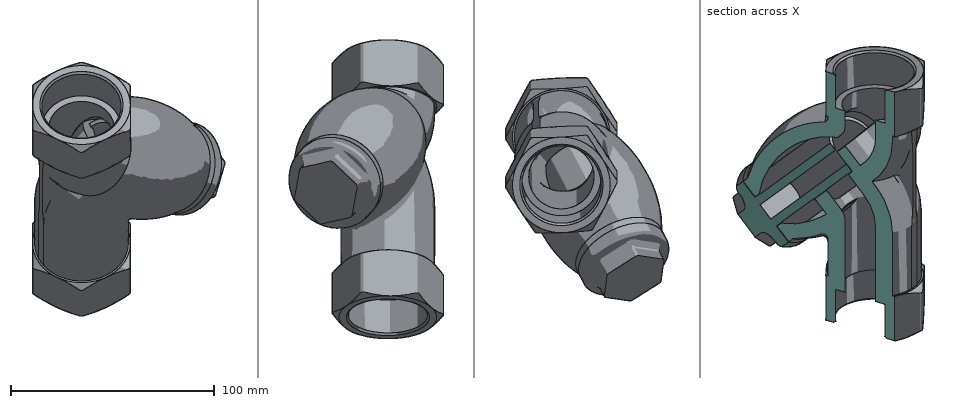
import cadquery as cq
import math

total_height = 140.0
pipe_radius = 46.0 / 2
bore_radius = 32.0 / 2
hex_flats = 48.0
hex_height = 25.2
hex_corner_radius = 2.0
hex_chamfer_angle = 30.0
socket_radius = 38.9 / 2
socket_depth = 18.9
socket_chamfer = 1.0
half_height = total_height / 2
hex_inner_z = half_height - hex_height

crease_z = 16.0
bend_radius = 14.4
bend_angle = 45.0
pivot_rise = 25.5
upper_pivot_z = crease_z + pivot_rise
lower_pivot_z = crease_z - pivot_rise
bend_cos = math.cos(math.radians(bend_angle))

branch_origin = (
    0,
    bend_radius * (1 - bend_cos),
    upper_pivot_z - bend_radius * bend_cos,
)
branch_direction = (0, bend_cos, -bend_cos)
bulge_radius = 29.8
bulge_start = 4.2
bulge_end = 67.6
bulge_middle = (bulge_start + bulge_end) / 2
joint_position = 71.4
wall = pipe_radius - bore_radius
crotch_z = -26.5
crotch_fillet = 3.0

outlet_origin = (0, branch_origin[1], 2 * crease_z - branch_origin[2])
outlet_direction = (0, bend_cos, bend_cos)
outlet_length = 24.9

rib_width = 3.0
rib_fillet = 1.7
rib_setback = 0.07
rib_root = 2.8
rib_reach = 11.2

flange_end = 78.3
flange_fillet = 2.5
nut_flats = 30.4
nut_corners = 2 * nut_flats / math.sqrt(3)
nut_end = 87.1
nut_corner_radius = 2.0
nut_base_fillet = 3.9
sleeve_start = 9.8
sleeve_wall = 2.0


outlet_plane = cq.Plane(origin=outlet_origin, xDir=(1, 0, 0), normal=outlet_direction)
branch_profile_plane = cq.Plane(origin=branch_origin, xDir=(1, 0, 0), normal=outlet_direction)


def vertical_cylinder(radius, bottom, top):
    return cq.Workplane("XY", origin=(0, 0, bottom)).circle(radius).extrude(top - bottom)


def branch_point(offset, position):
    """Point at a position along the branch, offset from its axis towards +Y and +Z."""
    along = cq.Vector(*branch_direction) * position
    across = cq.Vector(*outlet_direction) * offset
    return (cq.Vector(*branch_origin) + along + across).toTuple()


def branch_section(position):
    """Cross-section plane of the branch."""
    plane = cq.Plane(origin=branch_point(0, position), xDir=(1, 0, 0), normal=branch_direction)
    return cq.Workplane(plane)


def branch_cylinder(radius, start, end):
    return branch_section(start).circle(radius).extrude(end - start)


def mirrored_below(upper):
    """Copy of an upper shape, reflected in the horizontal crease plane."""
    return upper.mirror("XY", (0, 0, crease_z))


def hex_end():
    """Hexagonal pipe end standing on Z = 0, bevelled at both faces."""
    corner_radius = hex_flats / math.sqrt(3)
    bevel_drop = (corner_radius - hex_flats / 2) * math.tan(math.radians(hex_chamfer_angle))
    prism = (
        cq.Workplane("XY")
        .polygon(6, hex_flats, circumscribed=True)
        .extrude(hex_height)
        .edges("|Z")
        .fillet(hex_corner_radius)
    )
    envelope = (
        cq.Workplane("XZ")
        .lineTo(hex_flats / 2, 0)
        .lineTo(corner_radius, bevel_drop)
        .lineTo(corner_radius, hex_height - bevel_drop)
        .lineTo(hex_flats / 2, hex_height)
        .lineTo(0, hex_height)
        .close()
        .revolve(360, (0, 0), (0, 1))
    )
    return prism.intersect(envelope)


def upper_elbow(radius):
    """45 degree bend; the pipe circle reaches past the pivot line, so only its outer part is swept."""
    half_chord = math.sqrt(radius**2 - bend_radius**2)
    return (
        cq.Workplane("XY", origin=(0, 0, upper_pivot_z))
        .moveTo(half_chord, bend_radius)
        .threePointArc((0, -radius), (-half_chord, bend_radius))
        .close()
        .revolve(bend_angle, (-1.4, bend_radius), (1.4, bend_radius))
    )


def barrel(end_radius, middle_radius, start):
    """Turned branch shape: straight neck, round bulge, then straight again up to the cap joint."""
    return (
        cq.Workplane(branch_profile_plane)
        .moveTo(0, start)
        .lineTo(end_radius, start)
        .lineTo(end_radius, bulge_start)
        .threePointArc((middle_radius, bulge_middle), (end_radius, bulge_end))
        .lineTo(end_radius, joint_position)
        .lineTo(0, joint_position)
        .close()
        .revolve(360, (0, 0), (0, 1))
    )


def outlet(radius):
    """Continuation of the lower elbow towards the branch."""
    return cq.Workplane(outlet_plane).circle(radius).extrude(outlet_length)


def outside():
    """Solid outer shape of pipe, elbows and branch, rounded where the branch meets the lower pipe."""
    elbow = upper_elbow(pipe_radius)
    upper = vertical_cylinder(pipe_radius, upper_pivot_z, hex_inner_z).union(elbow)
    lower = vertical_cylinder(pipe_radius, -hex_inner_z, lower_pivot_z).union(mirrored_below(elbow))
    lower = lower.union(outlet(pipe_radius))
    branch = barrel(pipe_radius, bulge_radius, 0)
    crotch = cq.NearestToPointSelector((0, pipe_radius, crotch_z))
    return branch.union(upper).union(lower).edges(crotch).fillet(crotch_fillet)


def rib_section(height):
    """Rib cross-section at the given height, widening through concave fillets onto the pipe."""
    web_x = rib_width / 2
    foot_x = web_x + rib_fillet
    foot_y = -math.sqrt(pipe_radius**2 - foot_x**2)
    arc_y = foot_y - rib_fillet
    arc_middle = rib_fillet * (1 - math.sqrt(0.5))
    root_y = rib_root - pipe_radius
    top_y = -pipe_radius - rib_reach
    return (
        cq.Workplane("XY", origin=(0, 0, height))
        .moveTo(-foot_x, root_y)
        .lineTo(-foot_x, foot_y)
        .threePointArc((-web_x - arc_middle, foot_y - arc_middle), (-web_x, arc_y))
        .lineTo(-web_x, top_y)
        .lineTo(web_x, top_y)
        .lineTo(web_x, arc_y)
        .threePointArc((web_x + arc_middle, foot_y - arc_middle), (foot_x, foot_y))
        .lineTo(foot_x, root_y)
        .close()
    )


def rib():
    """Rib following pipe and elbows, planed off just below the foremost line of the pipe."""
    upper_foot = rib_section(upper_pivot_z).extrude(hex_inner_z - upper_pivot_z)
    lower_foot = rib_section(-hex_inner_z).extrude(lower_pivot_z + hex_inner_z)
    bend = rib_section(upper_pivot_z).revolve(bend_angle, (-1.4, bend_radius), (1.4, bend_radius))
    front_y = rib_setback - pipe_radius
    limits = cq.Workplane("XY").box(
        pipe_radius, pipe_radius, 2 * hex_inner_z, centered=(True, False, True)
    ).translate((0, front_y, 0))
    rib_blank = bend.union(mirrored_below(bend)).union(upper_foot).union(lower_foot)
    return rib_blank.intersect(limits)


def make_body():
    """Hollow Y-shaped housing with a hexagonal socket at each pipe end."""
    body = outside().union(rib())
    for bottom in (-half_height, hex_inner_z):
        body = body.union(hex_end().translate((0, 0, bottom)))

    chamber = barrel(bore_radius, bulge_radius - wall, 0)
    elbow_bore = upper_elbow(bore_radius)
    body = body.cut(chamber).cut(elbow_bore)
    spout = outlet(pipe_radius).cut(branch_cylinder(bore_radius, sleeve_start, joint_position))
    body = body.union(spout).cut(outlet(bore_radius)).cut(mirrored_below(elbow_bore))
    body = body.cut(vertical_cylinder(bore_radius, upper_pivot_z, half_height))
    body = body.cut(vertical_cylinder(bore_radius, -half_height, lower_pivot_z))

    socket = (
        cq.Workplane("XZ")
        .moveTo(0, half_height)
        .lineTo(socket_radius + socket_chamfer, half_height)
        .lineTo(socket_radius, half_height - socket_chamfer)
        .lineTo(socket_radius, half_height - socket_depth)
        .lineTo(0, half_height - socket_depth)
        .close()
        .revolve(360, (0, 0), (0, 1))
    )
    return body.cut(socket).cut(socket.mirror("XY"))


def make_cap():
    """Screw cap: filleted flange, hexagonal nut and a hollow strainer sleeve reaching up the branch."""
    flange = branch_cylinder(pipe_radius, joint_position, flange_end)
    flange_rim = cq.NearestToPointSelector(branch_point(0, flange_end))
    flange = flange.edges(flange_rim).fillet(flange_fillet)
    nut = (
        branch_section(flange_end)
        .polygon(6, nut_corners)
        .extrude(nut_end - flange_end)
        .edges(cq.selectors.ParallelDirSelector(cq.Vector(*branch_direction)))
        .fillet(nut_corner_radius)
    )
    cap = flange.union(nut)
    nut_base = cq.NearestToPointSelector(branch_point(nut_flats / 2, flange_end))
    cap = cap.edges(nut_base).fillet(nut_base_fillet)
    sleeve = branch_cylinder(bore_radius, sleeve_start, joint_position).cut(
        branch_cylinder(bore_radius - sleeve_wall, sleeve_start, joint_position)
    )
    return cap.union(sleeve)


body = make_body()
cap = make_cap()
result = cq.Compound.makeCompound([body.solids().val(), cap.solids().val()])